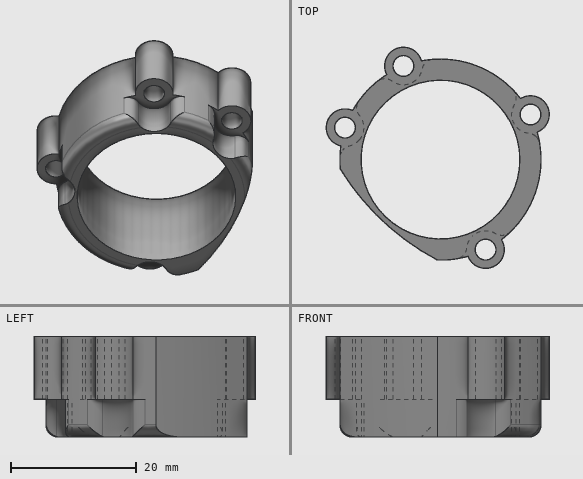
import cadquery as cq
import math

HEIGHT = 16.0
OUTER_RADIUS = 16.0
BORE_DIAMETER = 25.2
BOTTOM_ROUND = 2.0

LUG_DIAMETER = 6.0
LUG_HEIGHT = 10.0
LUG_HOLE_DIAMETER = 3.25
LUG_ANGLES = (26.6, 111.6, 161.5, 296.6)
RELIEF_MOUTH_ROUND = 2.0

SIDE_RADIUS = 40.0
SIDE_DISTANCE = 13.4
SIDE_ANGLE = 226.8

LUG_RADIUS = LUG_DIAMETER / 2
LUG_BOTTOM = HEIGHT - LUG_HEIGHT


def polar(radius, angle):
    """Point at a radius and an angle in degrees about the bore axis."""
    turn = math.radians(angle)
    return (radius * math.cos(turn), radius * math.sin(turn))


def cylinder(center, radius, bottom, top):
    """Upright cylinder between two heights."""
    return cq.Workplane("XY", origin=(*center, bottom)).circle(radius).extrude(top - bottom)


def bottom_round_cutter():
    """Material outside the rounded lower edge, swept from the last lug round to mid side face."""
    square_end_angle = LUG_ANGLES[-1]
    sweep = SIDE_ANGLE + 360 - square_end_angle
    flat_radius = OUTER_RADIUS - BOTTOM_ROUND
    round_middle = (
        flat_radius + BOTTOM_ROUND * math.sin(math.pi / 4),
        BOTTOM_ROUND - BOTTOM_ROUND * math.cos(math.pi / 4),
    )
    profile = (
        cq.Workplane("XZ")
        .moveTo(flat_radius, 0)
        .threePointArc(round_middle, (OUTER_RADIUS, BOTTOM_ROUND))
        .lineTo(OUTER_RADIUS + BOTTOM_ROUND, BOTTOM_ROUND)
        .lineTo(OUTER_RADIUS + BOTTOM_ROUND, 0)
        .close()
    )
    cutter = profile.revolve(sweep, (0, 0, 0), (0, -1, 0))
    return cutter.rotate((0, 0, 0), (0, 0, 1), SIDE_ANGLE)


def ring_blank():
    """Solid round body, partly rounded along its lower edge, trimmed by the side face."""
    side_center = polar(SIDE_DISTANCE - SIDE_RADIUS, SIDE_ANGLE)
    side_trim = cylinder(side_center, SIDE_RADIUS, 0, HEIGHT)
    body = cylinder((0, 0), OUTER_RADIUS, 0, HEIGHT).intersect(side_trim)
    return body.cut(bottom_round_cutter())


def relief(angle):
    """Clearance below a lug: an arc around its hole, flaring through convex mouth rounds."""
    round_orbit = OUTER_RADIUS - RELIEF_MOUTH_ROUND
    round_to_lug = LUG_RADIUS + RELIEF_MOUTH_ROUND
    cos_spread = (OUTER_RADIUS**2 + round_orbit**2 - round_to_lug**2) / (2 * OUTER_RADIUS * round_orbit)
    spread = math.degrees(math.acos(cos_spread))
    lug_x, lug_y = polar(OUTER_RADIUS, 0)
    round_x, round_y = polar(round_orbit, spread)
    mouth_x, mouth_y = polar(OUTER_RADIUS, spread)

    share = LUG_RADIUS / round_to_lug
    tangent_x = lug_x + share * (round_x - lug_x)
    tangent_y = lug_y + share * (round_y - lug_y)

    start = math.atan2(tangent_y - round_y, tangent_x - round_x)
    middle = (start + math.radians(spread)) / 2
    middle_x = round_x + RELIEF_MOUTH_ROUND * math.cos(middle)
    middle_y = round_y + RELIEF_MOUTH_ROUND * math.sin(middle)

    outside_x = OUTER_RADIUS + LUG_RADIUS
    outline = (
        cq.Workplane("XY")
        .moveTo(outside_x, -mouth_y)
        .lineTo(mouth_x, -mouth_y)
        .threePointArc((middle_x, -middle_y), (tangent_x, -tangent_y))
        .threePointArc((lug_x - LUG_RADIUS, lug_y), (tangent_x, tangent_y))
        .threePointArc((middle_x, middle_y), (mouth_x, mouth_y))
        .lineTo(outside_x, mouth_y)
        .close()
    )
    return outline.extrude(LUG_BOTTOM).rotate((0, 0, 0), (0, 0, 1), angle)


result = ring_blank()

for lug_angle in LUG_ANGLES:
    lug_center = polar(OUTER_RADIUS, lug_angle)
    result = result.cut(relief(lug_angle))
    result = result.union(cylinder(lug_center, LUG_RADIUS, LUG_BOTTOM, HEIGHT))
    result = result.cut(cylinder(lug_center, LUG_HOLE_DIAMETER / 2, LUG_BOTTOM, HEIGHT))

result = result.cut(cylinder((0, 0), BORE_DIAMETER / 2, 0, HEIGHT))